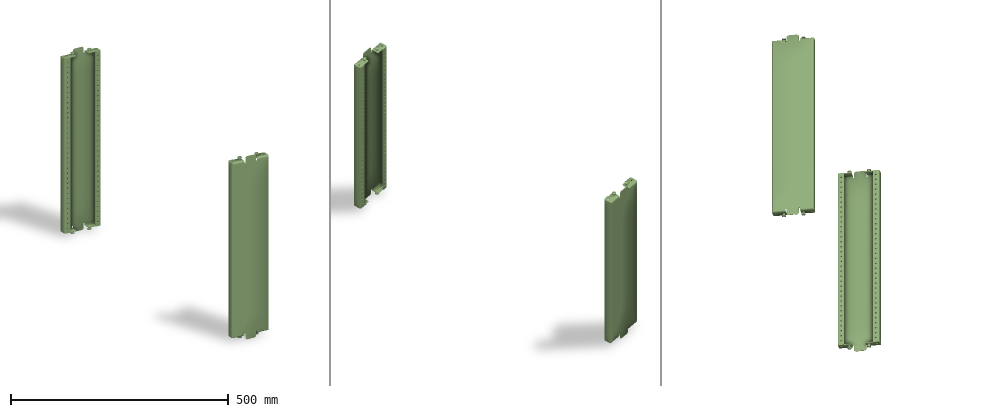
import cadquery as cq
import math

span = 759.0

width = 98.0
height = 435.0
depth = 21.0
sheet = 1.5
bend_radius = 4.0
lip_width = 15.0

tab_width = 28.0
tab_rise = 10.0
tab_chamfer = 3.0
relief_width = 3.0
relief_depth = 6.0

lip_hole_diameter = 4.0
lip_hole_run = 413.0
lip_hole_count = 34
lip_hole_pitch = lip_hole_run / (lip_hole_count - 1)
lip_hole_inset = 8.0

end_hole_x = 12.0
free_hole_y = 42.0
free_hole_diameter = 4.0

screw_y = 23.0
screw_diameter = 5.0
head_diameter = 10.0
socket_flats = 6.0
socket_depth = 1.5
head_height = 2.0
head_gap = 4.5

ends = (-1, 1)
sides = (-1, 1)


def rounded_tray(inset):
    """Block with rounded outer-face edges and rounded lip edges, inset evenly all round."""
    radius = bend_radius - inset
    block = cq.Workplane("XY").box(depth - 2 * inset, width - 2 * inset, height - 2 * inset)
    block = block.translate((depth / 2, 0, 0))
    return block.faces("<X").edges().fillet(radius).edges(">X and |Z").fillet(radius)


def block_between(x_range, y_range, z_range):
    """Axis-aligned block spanning the given ranges."""
    ranges = (x_range, y_range, z_range)
    size = [high - low for low, high in ranges]
    centre = tuple((high + low) / 2 for low, high in ranges)
    return cq.Workplane("XY").box(*size).translate(centre)


def make_tab_strip():
    """Flat strip whose chamfered ends are the two tabs."""
    strip_height = height + 2 * tab_rise
    y_range = (-tab_width / 2, tab_width / 2)
    z_range = (-strip_height / 2, strip_height / 2)
    strip = block_between((0, sheet), y_range, z_range)
    return strip.edges("|X").chamfer(tab_chamfer)


def make_lip_holes():
    """Drills for the evenly spaced holes along both return lips."""
    hole_y = width / 2 - lip_hole_inset
    return (
        cq.Workplane("YZ", origin=(depth - sheet, 0, 0))
        .rarray(2 * hole_y, lip_hole_pitch, 2, lip_hole_count)
        .circle(lip_hole_diameter / 2)
        .extrude(sheet)
    )


def make_end_holes(hole_y, diameter):
    """Drills through both end flanges at plus and minus hole_y."""
    return (
        cq.Workplane("XY", origin=(end_hole_x, 0, -height / 2))
        .pushPoints([(0, side * hole_y) for side in sides])
        .circle(diameter / 2)
        .extrude(height)
    )


def make_panel():
    """Folded panel with its outer face at X = 0 and its open side toward +X."""
    panel = rounded_tray(0).cut(rounded_tray(sheet))
    window = width / 2 - lip_width
    panel = panel.cut(block_between((depth - sheet, depth), (-window, window), (-height / 2, height / 2)))
    notch = tab_width / 2 + relief_width
    for end in ends:
        z_range = sorted((end * height / 2, end * (height / 2 - relief_depth)))
        panel = panel.cut(block_between((0, depth), (-notch, notch), z_range))
    panel = panel.union(make_tab_strip())
    panel = panel.cut(make_lip_holes())
    panel = panel.cut(make_end_holes(free_hole_y, free_hole_diameter))
    return panel.cut(make_end_holes(screw_y, screw_diameter))


def make_screw(side, end):
    """Socket screw standing in one end flange, its head clear of the flange."""
    shank_length = sheet + head_gap
    socket_corners = socket_flats / math.cos(math.pi / 6)
    screw = (
        cq.Workplane("XY")
        .circle(screw_diameter / 2)
        .extrude(shank_length)
        .faces(">Z")
        .workplane()
        .circle(head_diameter / 2)
        .extrude(head_height)
        .faces(">Z")
        .workplane()
        .polygon(6, socket_corners)
        .cutBlind(-socket_depth)
    )
    screw = screw.translate((end_hole_x, side * screw_y, height / 2 - sheet))
    return screw if end > 0 else screw.mirror("XY")


panel = make_panel()
bodies = [panel.val()] + [make_screw(side, end).val() for side in sides for end in ends]
left_side = [body.translate(cq.Vector(-span / 2, 0, 0)) for body in bodies]
right_side = [body.mirror("YZ") for body in left_side]
result = cq.Compound.makeCompound(left_side + right_side)